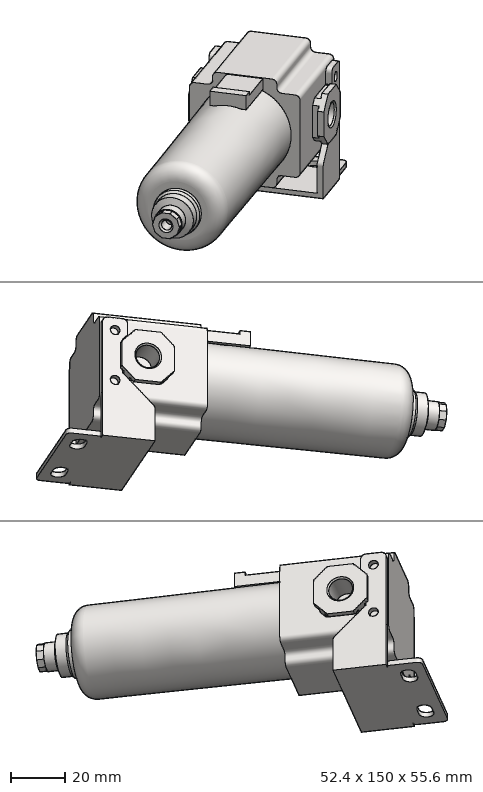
import cadquery as cq
import math


body_length = 41.2
body_half = 21.5
rib_half_width = 12.5
shoulder_height = 16.5
rib_height = 21.8
body_round = 2.0

port_y = -17.2
flange_face_x = 26.2
flange_thickness = 2.4
flange_half = 10.0
flange_corner = 5.1
neck_half = 8.5
port_bore_radius = 4.5
port_bore_depth = 12.0
port_bore_chamfer = 0.6
neck_corner = flange_corner - 2 * (flange_half - neck_half)
neck_face_x = flange_face_x - flange_thickness

bracket_back_y = -0.5
bracket_front_y = -20.5
bracket_bottom_z = -32.8
base_thickness = 2.0
arm_top_z = 15.0
ear_front_y = -10.0
arm_round = 2.0
neck_clearance = 0.6
arm_hole_radius = 1.8
arm_hole_y = -5.2
arm_hole_z = 10.0
tab_end_y = 12.8
tab_half_width = 22.8
tab_end_round = 2.0
tab_root_round = 1.2
slot_x = 13.5
slot_y = 6.0
slot_length = 9.0
slot_width = 5.5

bowl_root_radius = 18.0
bowl_end_radius = 17.5
bowl_end_round = 5.8
bowl_length = 81.2

collar_radius = 9.0
barrel_radius = 8.1
stem_radius = 5.4
grip_radius = 5.2
collar_length = 2.0
collar_chamfer = 0.9
barrel_length = 5.0
barrel_end_taper = 0.9
grip_length = 2.8
grip_sides = 10
drain_bore_radius = 2.0
drain_bore_depth = 6.0
drain_bore_chamfer = 0.8

latch_half_width = 7.0
latch_length = 20.4
latch_bottom_z = 17.1
latch_top_z = 21.5
lip_length = 4.0
lip_top_z = 22.8

total_length = 150.0
bowl_root_y = -body_length
bowl_end_y = bowl_root_y - bowl_length
drain_end_y = tab_end_y - total_length
grip_start_y = drain_end_y + grip_length


def box_between(x_range, y_range, z_range):
    """Box given by its two limits along each axis."""
    (x0, x1), (y0, y1), (z0, z1) = x_range, y_range, z_range
    return cq.Workplane("XY").box(x1 - x0, y1 - y0, z1 - z0, centered=False).translate((x0, y0, z0))


def make_body():
    """Prism along Y: a wide block crossed by a tall rib, all corners rounded."""
    wide = cq.Workplane("XZ").rect(2 * body_half, 2 * shoulder_height).extrude(body_length)
    tall = cq.Workplane("XZ").rect(2 * rib_half_width, 2 * rib_height).extrude(body_length)
    return wide.union(tall).edges("|Y").fillet(body_round)


def cut_corner_block(half, corner, x_start, x_end):
    """Square block centred on the port axis, its corners cut at 45 degrees."""
    block = cq.Workplane("YZ").rect(2 * half, 2 * half).extrude(x_end - x_start)
    return block.edges("|X").chamfer(corner).translate((x_start, port_y, 0))


def make_port():
    """Flange and neck of the +X port."""
    neck = cut_corner_block(neck_half, neck_corner, body_half, neck_face_x)
    flange = cut_corner_block(flange_half, flange_corner, neck_face_x, flange_face_x)
    return neck.union(flange)


def make_port_bore():
    """Blind bore of the +X port with a chamfered mouth."""
    mouth_radius = port_bore_radius + port_bore_chamfer
    outline = [
        (flange_face_x - port_bore_depth, 0),
        (flange_face_x - port_bore_depth, port_bore_radius),
        (flange_face_x - port_bore_chamfer, port_bore_radius),
        (flange_face_x, mouth_radius),
        (flange_face_x, 0),
    ]
    bore = cq.Workplane("XY").polyline(outline).close().revolve(360, (0, 0, 0), (1, 0, 0))
    return bore.translate((0, port_y, 0))


def make_arm():
    """Arm of the bracket on the +X side."""
    recess_half = neck_half + neck_clearance
    slope_sum = 2 * neck_half - neck_corner + neck_clearance * math.sqrt(2)
    recess_y = port_y + recess_half
    recess_z = slope_sum - recess_half
    ear_bottom_z = slope_sum - (ear_front_y - port_y)
    knee_z = (bracket_front_y - port_y) - slope_sum
    outline = [
        (bracket_back_y, bracket_bottom_z),
        (bracket_back_y, arm_top_z),
        (ear_front_y, arm_top_z),
        (ear_front_y, ear_bottom_z),
        (recess_y, recess_z),
        (recess_y, -recess_z),
        (bracket_front_y, knee_z),
        (bracket_front_y, bracket_bottom_z),
    ]
    arm = cq.Workplane("YZ").polyline(outline).close().extrude(neck_face_x - body_half)
    arm = arm.edges("|X and >Z").fillet(arm_round)
    knee = cq.selectors.NearestToPointSelector(((neck_face_x - body_half) / 2, bracket_front_y, knee_z))
    arm = arm.edges(knee).fillet(arm_round)
    holes = (
        cq.Workplane("YZ")
        .pushPoints([(arm_hole_y, arm_hole_z), (arm_hole_y, -arm_hole_z)])
        .circle(arm_hole_radius)
        .extrude(neck_face_x - body_half)
    )
    return arm.cut(holes).translate((body_half, 0, 0))


def make_base():
    """Base plate between the arms and the slotted tab behind it."""
    z_range = (bracket_bottom_z, bracket_bottom_z + base_thickness)
    base = box_between((-neck_face_x, neck_face_x), (bracket_front_y, bracket_back_y), z_range)
    tab = box_between((-tab_half_width, tab_half_width), (bracket_back_y, tab_end_y), z_range)
    tab = tab.edges("|Z and >Y").fillet(tab_end_round)
    tab = tab.edges("|Z and <Y").fillet(tab_root_round)
    slots = (
        cq.Workplane("XY", origin=(0, 0, bracket_bottom_z))
        .pushPoints([(-slot_x, slot_y), (slot_x, slot_y)])
        .slot2D(slot_length, slot_width)
        .extrude(base_thickness)
    )
    return base.union(tab.cut(slots))


def make_bowl():
    """Bowl and drain turned about the Y axis; the grip is added separately."""
    bowl_flat_radius = bowl_end_radius - bowl_end_round
    round_start_y = bowl_end_y + bowl_end_round
    arc_reach = bowl_end_round * math.sqrt(0.5)
    collar_end_y = bowl_end_y - collar_length
    barrel_start_y = collar_end_y - collar_chamfer
    barrel_end_y = barrel_start_y - barrel_length
    return (
        cq.Workplane("XY")
        .moveTo(0, bowl_root_y)
        .lineTo(bowl_root_radius, bowl_root_y)
        .lineTo(bowl_end_radius, round_start_y)
        .threePointArc(
            (bowl_flat_radius + arc_reach, round_start_y - arc_reach),
            (bowl_flat_radius, bowl_end_y),
        )
        .lineTo(collar_radius, bowl_end_y)
        .lineTo(collar_radius, collar_end_y)
        .lineTo(barrel_radius, barrel_start_y)
        .lineTo(barrel_radius, barrel_end_y + barrel_end_taper)
        .lineTo(stem_radius, barrel_end_y)
        .lineTo(stem_radius, grip_start_y)
        .lineTo(0, grip_start_y)
        .close()
        .revolve(360, (0, 0, 0), (0, 1, 0))
    )


def make_grip():
    """Ten-sided end of the drain stem."""
    plane = cq.Workplane("XZ", origin=(0, grip_start_y, 0))
    return plane.polygon(grip_sides, 2 * grip_radius).extrude(grip_length)


def make_drain_bore():
    """Blind bore in the grip end with a chamfered mouth."""
    mouth_radius = drain_bore_radius + drain_bore_chamfer
    outline = [
        (0, drain_end_y),
        (mouth_radius, drain_end_y),
        (drain_bore_radius, drain_end_y + drain_bore_chamfer),
        (drain_bore_radius, drain_end_y + drain_bore_depth),
        (0, drain_end_y + drain_bore_depth),
    ]
    return cq.Workplane("XY").polyline(outline).close().revolve(360, (0, 0, 0), (0, 1, 0))


def make_latch():
    """Latch block with the raised lip at its front."""
    x_range = (-latch_half_width, latch_half_width)
    front_y = bowl_root_y - latch_length
    block = box_between(x_range, (front_y, bowl_root_y), (latch_bottom_z, latch_top_z))
    lip = box_between(x_range, (front_y, front_y + lip_length), (latch_top_z, lip_top_z))
    return block.union(lip)


result = make_body()
for central_part in (make_bowl(), make_grip(), make_latch(), make_base()):
    result = result.union(central_part)
for side_part in (make_port(), make_arm()):
    result = result.union(side_part).union(side_part.mirror("YZ"))

port_bore = make_port_bore()
result = result.cut(port_bore).cut(port_bore.mirror("YZ")).cut(make_drain_bore())